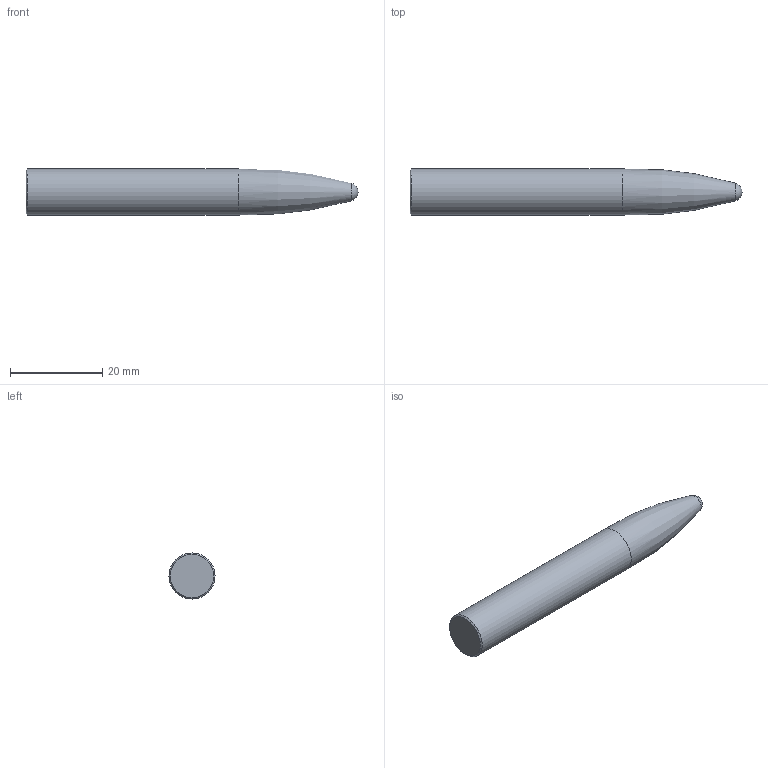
import cadquery as cq
import math

overall_length = 72.0
shank_length = 46.0
shank_radius = 5.0
tip_radius = 2.0
end_chamfer = 0.3

tip_taper_angle = 15.5
shank_handle_length = 6.0
tip_handle_length = 12.5

tip_center_x = overall_length - tip_radius


def tip_point(angle):
    """Point on the spherical tip, at an angle in degrees from the radial direction."""
    turn = math.radians(angle)
    return tip_center_x + tip_radius * math.sin(turn), tip_radius * math.cos(turn)


def nose_curve_points():
    """Control points of the cubic nose curve, tangent to the shank and the tip."""
    taper = math.radians(tip_taper_angle)
    end_x, end_y = tip_point(tip_taper_angle)
    shank_end = (shank_length, shank_radius)
    shank_handle = (shank_length + shank_handle_length, shank_radius)
    tip_handle = (
        end_x - tip_handle_length * math.cos(taper),
        end_y + tip_handle_length * math.sin(taper),
    )
    return [shank_end, shank_handle, tip_handle, (end_x, end_y)]


def half_profile():
    """Closed half section of the part, in the XY plane on the +Y side of the axis."""
    tip_middle_angle = (tip_taper_angle + 90) / 2
    return (
        cq.Workplane("XY")
        .moveTo(0, 0)
        .lineTo(0, shank_radius - end_chamfer)
        .lineTo(end_chamfer, shank_radius)
        .lineTo(shank_length, shank_radius)
        .bezier(nose_curve_points())
        .threePointArc(tip_point(tip_middle_angle), (overall_length, 0))
        .close()
    )


result = half_profile().revolve(360, (0, 0, 0), (1, 0, 0))